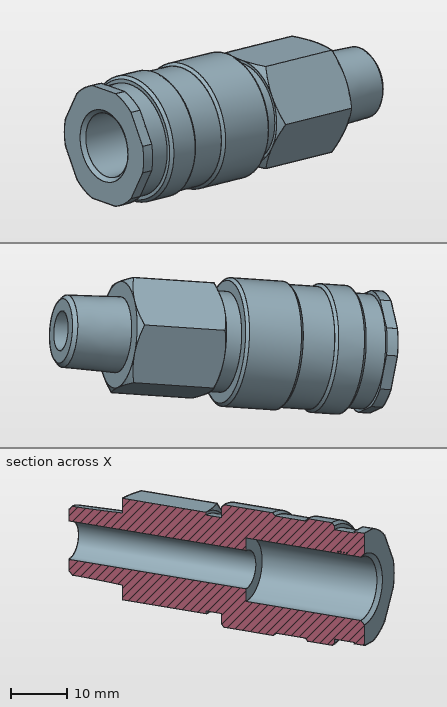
import cadquery as cq
import math

total_length = 60.0
flange_end = 2.1
front_ring_start, front_ring_end = 6.05, 12.05
rear_ring_start, rear_ring_end = 18.05, 29.05
hex_start, hex_end = 32.1, 49.15
gauge_plane = 54.0

ring_radius = 11.49
sleeve_radius = 11.0
front_neck_radius = 10.25
rear_neck_radius = 9.0
ring_chamfer = 0.55

flange_across_flats = 21.0
hex_across_flats = 19.0
hex_chamfer_angle = 30

thread_gauge_radius = 6.63
thread_taper = 1 / 32
tip_chamfer = 0.7

bore_radius = 3.55
socket_radius = 5.9
socket_depth = 24.0
socket_chamfer = 0.7

y_front = -total_length / 2


def cone(start, end, start_radius, end_radius):
    """Solid of revolution about Y whose radius changes evenly between two stations."""
    return (
        cq.Workplane("XY")
        .moveTo(0, y_front + start)
        .lineTo(start_radius, y_front + start)
        .lineTo(end_radius, y_front + end)
        .lineTo(0, y_front + end)
        .close()
        .revolve(360, (0, 0, 0), (0, 1, 0))
    )


def cylinder(start, end, radius):
    return cone(start, end, radius, radius)


def hex_prism(start, end, across_flats):
    """Hexagonal bar along Y with two opposite corners on the X axis."""
    across_corners = across_flats / math.cos(math.pi / 6)
    return (
        cq.Workplane("XZ", origin=(0, y_front + start, 0))
        .polygon(6, across_corners)
        .extrude(start - end)
    )


def gripping_ring(start, end):
    return cylinder(start, end, ring_radius).edges("%CIRCLE").chamfer(ring_chamfer)


def flange():
    """Round end flange with six shallow flats."""
    return cylinder(0, flange_end, sleeve_radius).intersect(
        hex_prism(0, flange_end, flange_across_flats)
    )


def hex_body():
    """Wrench hexagon with its corners turned down to the flats at both ends."""
    flat_radius = hex_across_flats / 2
    length = hex_end - hex_start
    widening = length / math.tan(math.radians(hex_chamfer_angle))
    front_cone = cone(hex_start, hex_end, flat_radius, flat_radius + widening)
    rear_cone = cone(hex_start, hex_end, flat_radius + widening, flat_radius)
    return hex_prism(hex_start, hex_end, hex_across_flats).intersect(front_cone).intersect(rear_cone)


def thread_radius(station):
    return thread_gauge_radius - (station - gauge_plane) * thread_taper


def tapered_thread():
    """Tapered pipe thread envelope with a chamfered tip."""
    chamfer_start = total_length - tip_chamfer
    chamfer_radius = thread_radius(chamfer_start)
    taper = cone(hex_end, chamfer_start, thread_radius(hex_end), chamfer_radius)
    tip = cone(chamfer_start, total_length, chamfer_radius, chamfer_radius - tip_chamfer)
    return taper.union(tip)


body = (
    flange()
    .union(cylinder(flange_end, front_ring_start, front_neck_radius))
    .union(gripping_ring(front_ring_start, front_ring_end))
    .union(cylinder(front_ring_end, rear_ring_start, sleeve_radius))
    .union(gripping_ring(rear_ring_start, rear_ring_end))
    .union(cylinder(rear_ring_end, hex_start, rear_neck_radius))
    .union(hex_body())
    .union(tapered_thread())
)

through_bore = cylinder(0, total_length, bore_radius)
socket = cylinder(0, socket_depth, socket_radius)
socket_lead_in = cone(0, socket_chamfer, socket_radius + socket_chamfer, socket_radius)

result = body.cut(through_bore).cut(socket).cut(socket_lead_in)